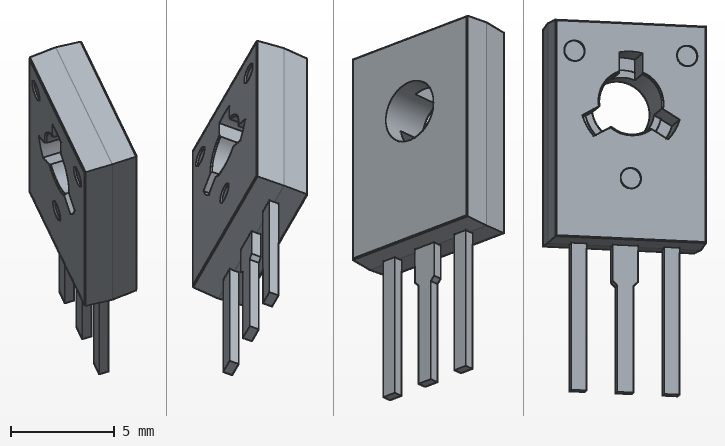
import cadquery as cq

housing_width = 7.6
housing_height = 10.8
front_depth = 1.4
back_depth = 1.31
draft_angle = 3.0
edge_chamfer = 0.05

hole_radius = 1.55
hole_chamfer = 0.07
hole_height = housing_height - 4.0
slot_width = 1.15
slot_outer_radius = 2.52
slot_count = 3

dimple_diameter = 1.0
dimple_depth = 0.1
upper_dimple_offset = 2.79
upper_dimple_height = housing_height - 1.57
lower_dimple_height = housing_height - 7.7

total_height = 18.0
lead_length = total_height - housing_height
lead_pitch = 2.3
lead_thickness = 0.49
lead_front = -lead_thickness / 2
lead_back = lead_thickness / 2
outer_lead_width = 0.75
middle_lead_width = 0.81
shoulder_width = 1.25
shoulder_length = 1.76
shoulder_taper = (shoulder_width - middle_lead_width) / 2
plate_front = lead_back
plate_back = plate_front + lead_thickness
plate_width = 2 * lead_pitch + outer_lead_width
plate_bottom = 0.72
plate_top = housing_height - plate_bottom
plate_hole_radius = 1.9
lead_top = 1.8

front_face = -front_depth
total_depth = front_depth + back_depth
slot_depth = front_depth + plate_front


def cylinder_from(y, radius, depth, x, z):
    """Cylinder starting at Y = y and running towards +Y."""
    return cq.Workplane(cq.Solid.makeCylinder(radius, depth, cq.Vector(x, y, z), cq.Vector(0, 1, 0)))


def block(width, y_front, y_back, z_bottom, z_top, x=0.0):
    """Box centred on x, given by its Y and Z limits."""
    box = cq.Workplane("XY").box(
        width, y_back - y_front, z_top - z_bottom, centered=(True, False, False)
    )
    return box.translate((x, y_front, z_bottom))


def drafted_half(direction, depth):
    """Half of the moulding, narrowing from the parting plane along direction (-1 front, +1 back)."""
    parting_plane = cq.Plane(
        origin=(0, 0, housing_height / 2), xDir=(1, 0, 0), normal=(0, direction, 0)
    )
    half = cq.Workplane(parting_plane).rect(housing_width, housing_height)
    half = half.extrude(depth, taper=draft_angle)
    outer_face = "<Y" if direction < 0 else ">Y"
    return half.faces(outer_face).chamfer(edge_chamfer)


def make_screw_hole():
    hole = cylinder_from(front_face, hole_radius, total_depth, 0, hole_height)
    countersink = cq.Solid.makeCone(
        hole_radius + hole_chamfer,
        hole_radius,
        hole_chamfer,
        cq.Vector(0, front_face, hole_height),
        cq.Vector(0, 1, 0),
    )
    return hole.union(cq.Workplane(countersink))


def make_slots():
    """Radial slots, the first pointing up, ended by a common outer radius."""
    hole_axis_start = (0, 0, hole_height)
    hole_axis_end = (0, 1, hole_height)
    arm = block(slot_width, front_face, plate_front, hole_height, housing_height)
    arms = cq.Workplane("XY")
    for index in range(slot_count):
        arms = arms.union(arm.rotate(hole_axis_start, hole_axis_end, index * 360 / slot_count))
    return arms.intersect(cylinder_from(front_face, slot_outer_radius, slot_depth, 0, hole_height))


def make_lead_frame():
    frame = block(plate_width, plate_front, plate_back, plate_bottom, plate_top)
    frame = frame.cut(cylinder_from(plate_front, plate_hole_radius, lead_thickness, 0, hole_height))

    for x in (-lead_pitch, lead_pitch):
        outer_lead = block(outer_lead_width, lead_front, lead_back, -lead_length, lead_top, x)
        frame = frame.union(outer_lead)

    half_shoulder = shoulder_width / 2
    half_lead = middle_lead_width / 2
    taper_end = -shoulder_length - shoulder_taper
    middle_lead = (
        cq.Workplane("XZ", origin=(0, lead_back, 0))
        .polyline(
            [
                (-half_shoulder, lead_top),
                (-half_shoulder, -shoulder_length),
                (-half_lead, taper_end),
                (-half_lead, -lead_length),
                (half_lead, -lead_length),
                (half_lead, taper_end),
                (half_shoulder, -shoulder_length),
                (half_shoulder, lead_top),
            ]
        )
        .close()
        .extrude(lead_thickness)
    )
    return frame.union(middle_lead)


def make_housing(frame):
    body = drafted_half(-1, front_depth).union(drafted_half(1, back_depth))
    body = body.cut(make_screw_hole()).cut(make_slots())
    dimple_places = [
        (-upper_dimple_offset, upper_dimple_height),
        (upper_dimple_offset, upper_dimple_height),
        (0, lower_dimple_height),
    ]
    for x, z in dimple_places:
        body = body.cut(cylinder_from(front_face, dimple_diameter / 2, dimple_depth, x, z))
    return body.cut(frame)


lead_frame = make_lead_frame()
housing = make_housing(lead_frame)
result = cq.Compound.makeCompound([housing.solids().val(), lead_frame.solids().val()])